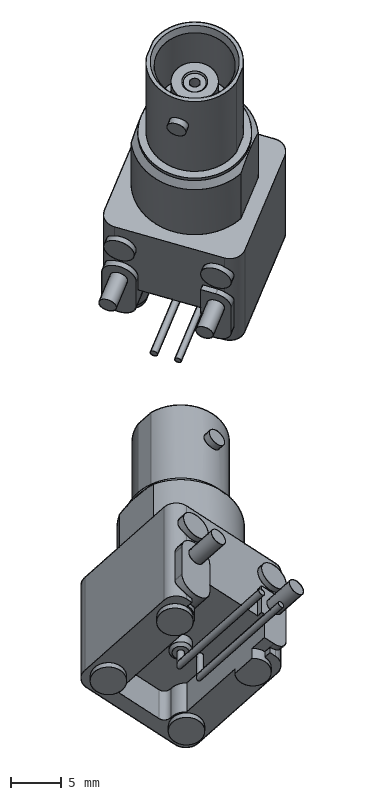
import cadquery as cq


body_width = 14.75
body_depth = 15.3
body_front = -7.68
body_bottom = 0.68
body_top = 14.75
body_corner_radius = 1.6
body_back = body_front + body_depth

foot_offset = 5.1
foot_radius = 1.8

collar_radius = 6.33
collar_side_flat = 5.75
collar_back_flat = 5.55
collar_chamfer_bottom = 22.5
collar_chamfer_top = 23.1
collar_ring_radius = 5.65
collar_top = 23.55

barrel_radius = 4.85
barrel_side_flat = 4.73
barrel_top = 35.55
lug_radius = 1.0
lug_reach = 5.55
lug_height = 31.33

mouth_radius = 4.4
bore_radius = 4.02
mouth_depth = 0.7
bore_depth = 8.4
inner_bore_radius = 3.35
inner_bore_depth = 9.95
insulator_radius = 2.35
insulator_recess = 3.4
insulator_hole_radius = 1.15
insulator_hole_mouth_radius = 1.28
insulator_hole_depth = 0.18
contact_hole_radius = 0.55
contact_hole_depth = 2.85

pad_front = -8.3
button_radius = 1.6
button_height = 11.77
pad_top = 9.07
left_pad_bottom = 1.25
left_pad_radius = foot_radius
right_pad_bottom = 1.5
right_pad_radius = button_radius
peg_radius = 0.92
peg_height = 7.05
peg_tip = -11.75

leg_radius = 1.95
pocket_half_width = foot_offset - leg_radius
pocket_right = 3.85
pocket_back = 6.05
pocket_top = 5.05
pocket_left_fillet = 0.4
pocket_right_fillet = 0.82

overall_depth = 20.0
pin_tip = body_back - overall_depth
pin_height = 1.92
center_pin_radius = 0.4
ground_pin_radius = 0.35
ground_pin_x = 2.52
bushing_radius = 1.17
bushing_tip_radius = 0.85
bushing_chamfer_top = 3.9
bushing_bottom = 3.6


def box(x_range, y_range, z_range):
    """Box between the given limits."""
    (x0, x1), (y0, y1), (z0, z1) = x_range, y_range, z_range
    return cq.Workplane("XY").box(x1 - x0, y1 - y0, z1 - z0, centered=False).translate((x0, y0, z0))


def z_cylinder(radius, bottom, top, x=0, y=0):
    """Upright cylinder."""
    return cq.Workplane("XY", origin=(x, y, bottom)).circle(radius).extrude(top - bottom)


def y_cylinder(radius, front, back, x, z):
    """Cylinder along Y."""
    return cq.Workplane("XZ", origin=(x, back, z)).circle(radius).extrude(back - front)


def z_cone(bottom_radius, top_radius, bottom, top):
    """Cone frustum on the barrel axis."""
    return cq.Workplane(cq.Solid.makeCone(bottom_radius, top_radius, top - bottom)).translate((0, 0, bottom))


def make_body():
    """Rounded block."""
    block = box(
        (-body_width / 2, body_width / 2), (body_front, body_back), (body_bottom, body_top)
    )
    return block.edges("|Z").fillet(body_corner_radius)


def make_collar():
    """Collar with two side flats, a back flat and a chamfer up to a thin ring."""
    collar = z_cylinder(collar_radius, body_top, collar_chamfer_bottom)
    collar = collar.union(
        z_cone(collar_radius, collar_ring_radius, collar_chamfer_bottom, collar_chamfer_top)
    )
    collar = collar.union(z_cylinder(collar_ring_radius, collar_chamfer_top, collar_top))
    flats = box(
        (-collar_side_flat, collar_side_flat), (-collar_radius, collar_back_flat), (body_top, collar_top)
    )
    return collar.intersect(flats)


def make_barrel():
    """Barrel with two side flats and two bayonet lugs."""
    barrel = z_cylinder(barrel_radius, collar_top, barrel_top)
    flats = box(
        (-barrel_side_flat, barrel_side_flat), (-barrel_radius, barrel_radius), (collar_top, barrel_top)
    )
    return barrel.intersect(flats).union(y_cylinder(lug_radius, -lug_reach, lug_reach, 0, lug_height))


def make_socket():
    """Hollow of the barrel, leaving the insulator with its contact standing in the middle."""
    mouth_bottom = barrel_top - mouth_depth
    bore_bottom = barrel_top - bore_depth
    inner_bore_bottom = barrel_top - inner_bore_depth
    insulator_top = barrel_top - insulator_recess
    contact_top = insulator_top - insulator_hole_depth

    hollow = z_cone(bore_radius, mouth_radius, mouth_bottom, barrel_top)
    hollow = hollow.union(z_cylinder(bore_radius, bore_bottom, mouth_bottom))
    hollow = hollow.union(z_cylinder(inner_bore_radius, inner_bore_bottom, bore_bottom))
    hollow = hollow.cut(z_cylinder(insulator_radius, inner_bore_bottom, insulator_top))
    hollow = hollow.union(
        z_cone(insulator_hole_radius, insulator_hole_mouth_radius, contact_top, insulator_top)
    )
    return hollow.union(z_cylinder(contact_hole_radius, contact_top - contact_hole_depth, contact_top))


def make_pad(x, radius, bottom):
    """Upright pad with fully rounded ends, from the foot axis out to the pad face."""
    height = pad_top - bottom
    pad = cq.Workplane("XZ", origin=(x, -foot_offset, bottom + height / 2))
    return pad.slot2D(height, 2 * radius, 90).extrude(-foot_offset - pad_front)


def make_right_pad():
    """Right pad, square at its inner corners."""
    inner_half = box(
        (foot_offset - right_pad_radius, foot_offset),
        (pad_front, -foot_offset),
        (right_pad_bottom, pad_top),
    )
    return make_pad(foot_offset, right_pad_radius, right_pad_bottom).union(inner_half)


def make_front_relief():
    """Space in front of the feet, between their axes."""
    return box((-foot_offset, foot_offset), (body_front, -foot_offset), (body_bottom, pocket_top))


def make_pocket():
    """Pin pocket with rounded back corners, widened on the right up to the rear leg."""
    pocket = box((-pocket_half_width, pocket_half_width), (pad_front, pocket_back), (0, pocket_top))
    pocket = pocket.edges("|Z and >Y and <X").fillet(pocket_left_fillet)
    pocket = pocket.edges("|Z and >Y and >X").fillet(pocket_right_fillet)
    widening = box((0, pocket_right), (pad_front, foot_offset), (0, pocket_top))
    rear_leg = z_cylinder(leg_radius, 0, pocket_top, foot_offset, foot_offset)
    return pocket.union(widening.cut(rear_leg))


def make_pin(x, radius):
    """Pin that comes down from the pocket ceiling and turns square to the front."""
    path = cq.Workplane("YZ", origin=(x, 0, 0)).moveTo(0, pocket_top).vLineTo(pin_height).hLineTo(pin_tip)
    section = cq.Workplane("XY", origin=(x, 0, pocket_top)).circle(radius)
    return section.sweep(path, transition="right")


def make_bushing():
    """Insulator end around the centre pin."""
    bushing = z_cylinder(bushing_radius, bushing_chamfer_top, pocket_top)
    return bushing.union(
        z_cone(bushing_tip_radius, bushing_radius, bushing_bottom, bushing_chamfer_top)
    )


result = make_body().cut(make_front_relief())

result = result.union(z_cylinder(leg_radius, body_bottom, pocket_top, -foot_offset, -foot_offset))
result = result.union(z_cylinder(foot_radius, body_bottom, pocket_top, foot_offset, -foot_offset))

for foot_x in (-foot_offset, foot_offset):
    for foot_y in (-foot_offset, foot_offset):
        result = result.union(z_cylinder(foot_radius, 0, body_bottom, foot_x, foot_y))

result = result.union(make_pad(-foot_offset, left_pad_radius, left_pad_bottom))
result = result.union(make_right_pad())
for side_x in (-foot_offset, foot_offset):
    result = result.union(y_cylinder(button_radius, pad_front, -foot_offset, side_x, button_height))
    result = result.union(y_cylinder(peg_radius, peg_tip, -foot_offset, side_x, peg_height))

result = result.cut(make_pocket())
result = result.union(make_bushing())
result = result.union(make_pin(0, center_pin_radius))
result = result.union(make_pin(ground_pin_x, ground_pin_radius))

result = result.union(make_collar()).union(make_barrel()).cut(make_socket())